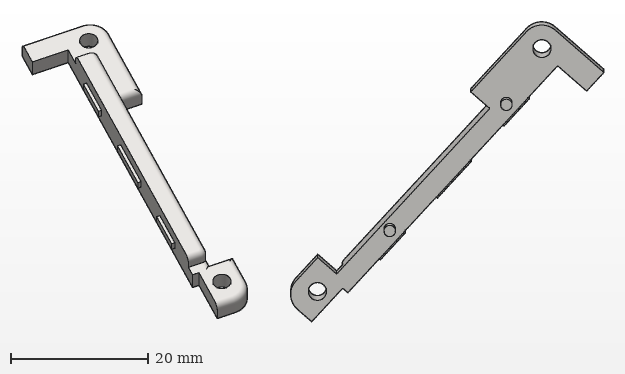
import cadquery as cq

length = 56.3
depth = 12.5
total_height = 6.2
base_height = 3.0
rail_height = 5.0
edge_radius = 1.0
corner_radius = 3.0

arm_width = 3.8
left_tab_end = 15.15
right_tab_start = 48.55
front_step_x = right_tab_start + edge_radius
right_tab_depth = 5.8

rail_start = 6.55
rail_end = 48.0
rail_back_y = -3.7
rail_front_y = -6.8

hole_diameter = 2.65
hole_centers = [(3.4, -3.4), (52.35, -3.4)]

pads = [(10.5, 5.5), (23.1, 7.5), (37.5, 5.5)]
pad_bottom_z = 1.7
pad_thickness = 0.5

pin_diameter = 1.7
pin_length = total_height - rail_height
pin_centers = [(12.9, -4.95), (38.35, -4.95)]


def make_base():
    """Flat bracket with a tab at each end and an arm reaching forward."""
    outline = [
        (0, 0),
        (left_tab_end, 0),
        (left_tab_end, rail_back_y),
        (right_tab_start, rail_back_y),
        (right_tab_start, 0),
        (length, 0),
        (length, -right_tab_depth),
        (front_step_x, -right_tab_depth),
        (front_step_x, rail_front_y),
        (arm_width, rail_front_y),
        (arm_width, -depth),
        (0, -depth),
    ]
    base = cq.Workplane("XY").polyline(outline).close().extrude(base_height)
    for x in (0, length):
        outer_corner = cq.selectors.NearestToPointSelector((x, 0, base_height / 2))
        base = base.edges("|Z").edges(outer_corner).fillet(corner_radius)

    rounded_edge_points = [
        (0, -depth / 2),
        (left_tab_end / 2, 0),
        (left_tab_end, rail_back_y / 2),
        ((left_tab_end + right_tab_start) / 2, rail_back_y),
        (right_tab_start, rail_back_y / 2),
        ((right_tab_start + length) / 2, 0),
        (length, -right_tab_depth / 2),
    ]
    top_edges = base.faces(">Z").edges()
    rounded_edges = []
    for x, y in rounded_edge_points:
        nearest = cq.selectors.NearestToPointSelector((x, y, base_height))
        rounded_edges.append(top_edges.edges(nearest).val())
    return cq.Workplane(base.val().fillet(edge_radius, rounded_edges))


def make_rail():
    """Upright bar with rounded ends and a rounded back edge."""
    rail = cq.Workplane("XY").box(
        rail_end - rail_start, rail_back_y - rail_front_y, rail_height, centered=False
    )
    rail = rail.edges("(>Z and (>Y or <X or >X)) or (|Z and >Y)").fillet(edge_radius)
    return rail.translate((rail_start, rail_front_y, 0))


def make_pad(start_x, width):
    pad_height = base_height - pad_bottom_z
    pad = cq.Workplane("XY").box(width, pad_thickness, pad_height, centered=False)
    return pad.translate((start_x, rail_front_y - pad_thickness, pad_bottom_z))


result = make_base().union(make_rail())
for start_x, width in pads:
    result = result.union(make_pad(start_x, width))

pins = cq.Workplane("XY").pushPoints(pin_centers).circle(pin_diameter / 2).extrude(-pin_length)
holes = cq.Workplane("XY").pushPoints(hole_centers).circle(hole_diameter / 2).extrude(base_height)
result = result.union(pins).cut(holes)